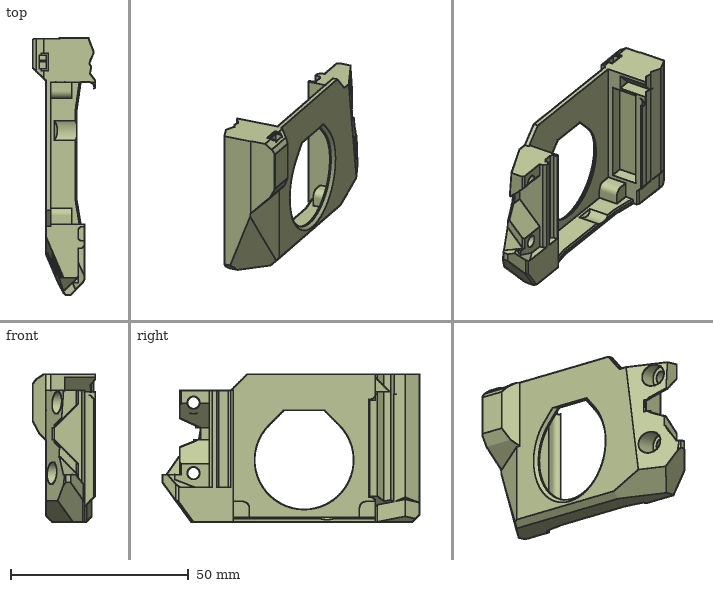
import cadquery as cq
import math

LENGTH = 72.3
WIDTH = 17.6
HEIGHT = 41.6
REACH = 144.6
MARGIN = 0.1

PLATE_X = 3.7
PLATE_INNER_X = 5.05
PLATE_RAMP_Y = 23.85
UNDERSIDE_BEVEL = 1.8

OPENING_Y = 39.8
OPENING_Z = 17.4
OPENING_RADIUS = 13.9
OPENING_CHAMFER = 0.95
OPENING_TOP_Z = 31.4

BLOCK_END_Y = 19.95
BLOCK_FRONT_Y = 4.85
BLOCK_TOP_Z = 37.0
BLOCK_INNER_X = 14.6
CORNER_BEVEL = 0.5
RECESS_END_Y = 13.15
TIP_TOP_Z = 13.3
TIP_BOTTOM_Z = 11.1
TOOTH_TOP_Z = 18.3
FLANK_FRONT_X = 8.7
SLANT_FOOT_Y = 11.5
SLANT_FOOT_Z = 6.0
RECESS_X = 12.8

SCREW_Y = 8.75
SCREW_HEIGHTS = (13.7, 33.55)
SCREW_DIAMETER = 3.4
HEAD_DIAMETER = 6.2
HEAD_SEAT_X = 9.7

FLOOR_TOP_Z = 1.3
FLOOR_INNER_X = 12.4
FLOOR_BEVEL = 0.4
LEDGE_TOP_Z = 5.8
LEDGE_INNER_X = 10.9
LEDGE_LENGTH = 4.5
LEDGE_RADIUS = 1.95
GROOVE_Y = 46.3
GROOVE_WIDTH = 5.4
GROOVE_DEPTH = 0.65
GROOVE_START_X = 6.1
GROOVE_RAMP = 0.9

FAR_Y = 59.85
SLOT_TOP_Z = 40.6
SLOT_FLOOR_Z = 36.6
SHEAR_Y = 61.65
SHEAR_END_X = 7.65
END_BEVEL = 2.0
INNER_BEVEL = 1.6


def prism_x(yz_points, x_start, x_end):
    return cq.Workplane("YZ", origin=(x_start, 0, 0)).polyline(yz_points).close().extrude(x_end - x_start)


def prism_y(xz_points, y_start, y_end):
    return cq.Workplane("XZ", origin=(0, y_start, 0)).polyline(xz_points).close().extrude(y_start - y_end)


def prism_z(xy_points, z_start, z_end):
    return cq.Workplane("XY", origin=(0, 0, z_start)).polyline(xy_points).close().extrude(z_end - z_start)


def block(x_range, y_range, z_range):
    size = [end - start for start, end in (x_range, y_range, z_range)]
    corner = (x_range[0], y_range[0], z_range[0])
    return cq.Workplane("XY").box(*size, centered=False).translate(corner)


def space_beyond(a, b, c):
    """Everything on the side of the plane a-b-c from which a, b, c run counter-clockwise."""
    a, b, c = cq.Vector(*a), cq.Vector(*b), cq.Vector(*c)
    plane = cq.Plane(origin=a, normal=(b - a).cross(c - a))
    return cq.Workplane(plane).rect(2 * REACH, 2 * REACH).extrude(REACH)


def roofed_circle(workplane, radius):
    """Circle whose upper part becomes two 45 degree tangents under a flat roof."""
    tangent = radius * math.sqrt(0.5)
    roof = OPENING_TOP_Z - OPENING_Z
    roof_half = 2 * tangent - roof
    return (
        workplane.moveTo(-tangent, tangent)
        .threePointArc((0, -radius), (tangent, tangent))
        .lineTo(roof_half, roof)
        .lineTo(-roof_half, roof)
        .close()
    )


def make_plate():
    plate_end_y = PLATE_RAMP_Y - (HEIGHT - BLOCK_TOP_Z)
    outline = [
        (SHEAR_Y, 0), (SHEAR_Y, HEIGHT), (PLATE_RAMP_Y, HEIGHT), (plate_end_y, BLOCK_TOP_Z), (plate_end_y, 0),
    ]
    plate = prism_x(outline, PLATE_X, PLATE_INNER_X)
    outer = cq.Workplane("YZ", origin=(PLATE_X, OPENING_Y, OPENING_Z))
    mouth = roofed_circle(outer, OPENING_RADIUS + OPENING_CHAMFER)
    funnel = roofed_circle(mouth.workplane(offset=OPENING_CHAMFER), OPENING_RADIUS).loft(ruled=True)
    bore = roofed_circle(outer, OPENING_RADIUS).extrude(PLATE_INNER_X - PLATE_X)
    return plate.cut(funnel).cut(bore)


def make_floor():
    flare_x, near_flare_y, far_flare_y = 13.5, 26.5, 52.3
    floor = prism_z(
        [
            (PLATE_X, BLOCK_END_Y), (flare_x, BLOCK_END_Y), (FLOOR_INNER_X, near_flare_y),
            (FLOOR_INNER_X, far_flare_y), (flare_x, FAR_Y), (PLATE_X, FAR_Y),
        ],
        0, FLOOR_TOP_Z,
    )
    free_edge = cq.selectors.BoxSelector((FLOOR_INNER_X - 0.7, BLOCK_END_Y, 0), (flare_x, FAR_Y, HEIGHT))
    floor = floor.faces(">Z").edges(free_edge).chamfer(FLOOR_BEVEL)
    for start, end, rounded in (
        (BLOCK_END_Y, BLOCK_END_Y + LEDGE_LENGTH, ">Y"),
        (FAR_Y - LEDGE_LENGTH, FAR_Y, "<Y"),
    ):
        ledge = block((PLATE_INNER_X, LEDGE_INNER_X), (start, end), (0, LEDGE_TOP_Z))
        floor = floor.union(ledge.faces(rounded).edges(">Z").fillet(LEDGE_RADIUS))
    half = GROOVE_WIDTH / 2
    groove = (
        cq.Workplane("YZ", origin=(GROOVE_START_X, GROOVE_Y, FLOOR_TOP_Z))
        .moveTo(-half, 0)
        .threePointArc((0, -GROOVE_DEPTH), (half, 0))
        .close()
        .extrude(FLOOR_INNER_X - GROOVE_START_X)
    )
    groove_bottom_z = FLOOR_TOP_Z - GROOVE_DEPTH
    ramped_end = prism_y(
        [
            (GROOVE_START_X, FLOOR_TOP_Z), (GROOVE_START_X + GROOVE_RAMP, groove_bottom_z),
            (FLOOR_INNER_X, groove_bottom_z), (FLOOR_INNER_X, FLOOR_TOP_Z),
        ],
        BLOCK_END_Y, FAR_Y,
    )
    return floor.cut(groove.intersect(ramped_end))


def cut_screw_block_flanks(body):
    """Slanted outer flank, and the bevel that joins it to the underside bevel of the plate."""
    flank_top = (PLATE_X, 16.55, BLOCK_TOP_Z)
    flank_foot = (PLATE_X, SLANT_FOOT_Y, SLANT_FOOT_Z)
    flank_front = (FLANK_FRONT_X, BLOCK_FRONT_Y, BLOCK_TOP_Z)
    bevel_start = (PLATE_X, 21.6, UNDERSIDE_BEVEL)
    run_x, run_y = flank_front[0] - flank_top[0], flank_front[1] - flank_top[1]
    foot_end = (PLATE_X + run_x, SLANT_FOOT_Y + run_y, SLANT_FOOT_Z)
    flank = space_beyond(flank_top, flank_foot, flank_front)
    bevel = space_beyond(flank_foot, bevel_start, foot_end)
    return body.cut(flank).cut(bevel)


def make_screw_block():
    tip_x, tip_end_x, tip_chamfer_y, foot_y = 9.3, 10.6, 4.1, 8.1
    plan = prism_z(
        [
            (PLATE_X, BLOCK_END_Y), (BLOCK_INNER_X, BLOCK_END_Y), (BLOCK_INNER_X, tip_chamfer_y),
            (tip_end_x, 0), (tip_x, 0), (PLATE_X, BLOCK_FRONT_Y),
        ],
        0, BLOCK_TOP_Z,
    )
    side = prism_x(
        [
            (BLOCK_END_Y, 0), (BLOCK_END_Y, BLOCK_TOP_Z), (BLOCK_FRONT_Y, BLOCK_TOP_Z),
            (BLOCK_FRONT_Y, TOOTH_TOP_Z), (0, TOOTH_TOP_Z), (0, TIP_BOTTOM_Z), (foot_y, 0),
        ],
        0, WIDTH,
    )
    body = plan.intersect(side)

    slope = space_beyond(
        (7.7, BLOCK_FRONT_Y, TOOTH_TOP_Z), (8.8, 1.3, TIP_TOP_Z), (12.6, BLOCK_FRONT_Y, TIP_TOP_Z)
    )
    above_tip = block((0, WIDTH), (0, BLOCK_FRONT_Y), (TIP_TOP_Z, HEIGHT))
    body = body.cut(slope.intersect(above_tip))

    recess_floor_z, ridge_bevel = 9.75, 0.9
    front_recess = [
        (RECESS_X, 0), (BLOCK_INNER_X, 0), (BLOCK_INNER_X, RECESS_END_Y + ridge_bevel),
        (BLOCK_INNER_X - ridge_bevel, RECESS_END_Y), (RECESS_X, RECESS_END_Y),
    ]
    groove = [
        (RECESS_X, 15.8), (13.4, 15.3), (BLOCK_INNER_X, 15.3),
        (BLOCK_INNER_X, 19.2), (13.45, 19.2), (RECESS_X, 18.6),
    ]
    ramp_x, ramp_y = 11.1, 3.55
    ramp = space_beyond((ramp_x, ramp_y, TIP_TOP_Z), (12.1, 1.5, TIP_TOP_Z), (13.7, 3.2, 11.3))
    tip_corner = block((ramp_x, WIDTH), (0, ramp_y), (0, BLOCK_TOP_Z))
    body = body.cut(prism_z(groove, recess_floor_z, BLOCK_TOP_Z))
    body = body.cut(prism_z(front_recess, recess_floor_z, BLOCK_TOP_Z).intersect(ramp))
    body = body.cut(tip_corner.intersect(ramp))

    corner = [
        (RECESS_X - CORNER_BEVEL, BLOCK_FRONT_Y), (RECESS_X, BLOCK_FRONT_Y),
        (RECESS_X, BLOCK_FRONT_Y + CORNER_BEVEL),
    ]
    body = body.cut(prism_z(corner, TIP_TOP_Z, BLOCK_TOP_Z))
    under_edge = cq.selectors.BoxSelector(
        (BLOCK_INNER_X - MARGIN, tip_chamfer_y, MARGIN), (WIDTH, foot_y, recess_floor_z)
    )
    body = body.edges(under_edge).chamfer(CORNER_BEVEL)

    for height in SCREW_HEIGHTS:
        axis = cq.Workplane("YZ", origin=(0, SCREW_Y, height))
        body = body.cut(axis.circle(SCREW_DIAMETER / 2).extrude(WIDTH))
        body = body.cut(axis.circle(HEAD_DIAMETER / 2).extrude(HEAD_SEAT_X))
    return body


def cut_notch(body):
    """V-shaped notch between the screws, opening at 45 degrees toward +X, with a bevelled mouth."""
    notch_x, low_z, high_z, bevel = 6.0, 23.1, 26.5, 0.6
    corner_y, corner_lean = 10.8, 0.3
    spread = BLOCK_INNER_X - notch_x
    notch = prism_y(
        [
            (notch_x, low_z), (BLOCK_INNER_X, low_z - spread),
            (BLOCK_INNER_X, high_z + spread), (notch_x, high_z),
        ],
        0, RECESS_END_Y,
    )
    upper_screw_z = SCREW_HEIGHTS[1] - HEAD_DIAMETER / 2
    sloping_edges = cq.selectors.BoxSelector(
        (notch_x + MARGIN, BLOCK_FRONT_Y + bevel, TOOTH_TOP_Z), (FLANK_FRONT_X, corner_y, upper_screw_z)
    )
    body = body.cut(notch).edges(sloping_edges).chamfer(bevel)
    corner = [
        (notch_x, 0), (notch_x, corner_y),
        (notch_x - bevel, corner_y + corner_lean), (notch_x - bevel, 0),
    ]
    return body.cut(prism_z(corner, low_z, high_z))


def make_far_block():
    inner_side = [
        (WIDTH, FAR_Y), (WIDTH, 60.35), (16.1, 62.25), (16.5, 64.2), (15.9, 65.1), (17.2, 68.25), (15.7, LENGTH),
    ]
    head_plan = [(PLATE_X, FAR_Y)] + inner_side + [
        (7.5, LENGTH), (7.5, 72.1), (0.3, 72.1), (0, 71.8), (0, 63.8), (PLATE_X, 60.3),
    ]
    belly_z = 23.05
    head_low_z = belly_z - (SHEAR_END_X - PLATE_X)
    head_profile = [
        (WIDTH, HEIGHT), (3.1, HEIGHT), (1.0, 40.2), (0, 38.9), (0, 28.3), (1.8, 24.9),
        (SHEAR_END_X, head_low_z), (WIDTH, head_low_z),
    ]
    head = prism_z(head_plan, 0, HEIGHT).intersect(prism_y(head_profile, FAR_Y, LENGTH))

    rail_x, rail_low_z, pocket_top_z = 14.6, 4.35, 35.9
    base_bulge_x, base_bulge_y = 16.6, 68.25
    base = prism_z(
        [
            (PLATE_X, FAR_Y), (rail_x, FAR_Y), (15.1, 60.4), (base_bulge_x, base_bulge_y), (15.7, LENGTH),
            (SHEAR_END_X, LENGTH), (PLATE_X, SHEAR_Y),
        ],
        0, pocket_top_z,
    )

    base = base.cut(space_beyond((SHEAR_END_X, LENGTH, 18.3), (5.8, 63.8, 0), (4.1, 62.8, 1.6)))

    rail = prism_z([(rail_x, FAR_Y)] + inner_side + [(rail_x, LENGTH)], 0, SLOT_FLOOR_Z)
    rail_end = [(rail_x, 0), (WIDTH, 0), (WIDTH, rail_low_z + WIDTH - rail_x), (rail_x, rail_low_z)]
    rail = rail.cut(prism_y(rail_end, FAR_Y, LENGTH))

    hook_root_x, hook_x, hook_top_z = 15.9, 16.2, 35.6
    hook = (
        cq.Workplane("XY")
        .moveTo(hook_root_x, FAR_Y)
        .threePointArc((16.85, 59.4), (17.2, 58.05))
        .lineTo(WIDTH, 58.3)
        .lineTo(WIDTH, FAR_Y)
        .close()
        .extrude(HEIGHT)
    )
    hook_slope = WIDTH - hook_x
    hook_low_z = rail_low_z + hook_x - rail_x
    hook = hook.intersect(prism_y(
        [
            (hook_root_x, hook_low_z - (hook_x - hook_root_x)), (WIDTH, hook_low_z + hook_slope),
            (WIDTH, hook_top_z - hook_slope), (hook_x, hook_top_z), (hook_root_x, hook_top_z),
        ],
        BLOCK_END_Y, FAR_Y,
    ))
    body = head.union(base).union(rail).union(hook)

    slot_x = 9.05
    slot_depth = SLOT_TOP_Z - SLOT_FLOOR_Z
    slot = [(FAR_Y, SLOT_TOP_Z), (FAR_Y, SLOT_FLOOR_Z), (FAR_Y + slot_depth, SLOT_FLOOR_Z)]
    body = body.cut(prism_x(slot, slot_x, WIDTH))

    pocket_x, pocket_floor_z, pocket_depth = (6.5, 14.3), 6.95, 3.75
    body = body.cut(block(pocket_x, (FAR_Y, FAR_Y + pocket_depth), (pocket_floor_z, pocket_top_z)))

    frame_x, frame_y, frame_depth, well_depth, rim = (1.3, 4.35), (63.1, 67.95), 0.5, 5.8, 0.5
    body = body.cut(block(frame_x, frame_y, (HEIGHT - frame_depth, HEIGHT)))
    well_x = (frame_x[0] + rim, frame_x[1] - rim)
    well_y = (frame_y[0] + rim, frame_y[1] - rim)
    bar_y, bar_height = (65.65, 66.1), 2.2
    well = block(well_x, well_y, (HEIGHT - well_depth, HEIGHT))
    bar = block(well_x, bar_y, (HEIGHT - well_depth, HEIGHT - well_depth + bar_height))
    body = body.cut(well.cut(bar))

    body = body.cut(prism_x([(LENGTH - END_BEVEL, 0), (LENGTH, 0), (LENGTH, END_BEVEL)], 0, WIDTH))
    bevel_x = base_bulge_x - INNER_BEVEL
    return body.cut(prism_y([(bevel_x, 0), (WIDTH, 0), (WIDTH, WIDTH - bevel_x)], FAR_Y, LENGTH))


underside_bevel = prism_y(
    [(PLATE_X, 0), (PLATE_X + UNDERSIDE_BEVEL, 0), (PLATE_X, UNDERSIDE_BEVEL)], 0, LENGTH
)

result = make_plate().union(make_floor()).union(make_screw_block())
result = cut_notch(cut_screw_block_flanks(result)).union(make_far_block()).cut(underside_bevel)